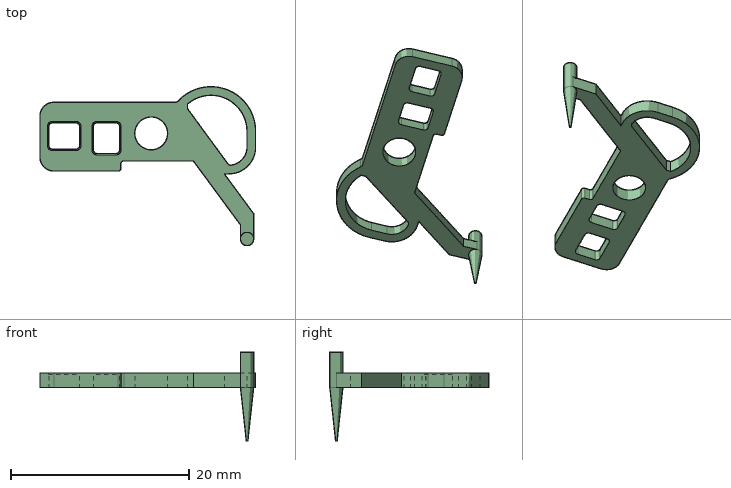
import cadquery as cq
import math

total_length = 24.2
thickness = 1.67
plate_top = 16.1
plate_bottom = 8.35
plate_corner_radius = 1.6
step_x = 9.1
step_y = 9.49
step_radius = 0.31

loop_wall = 1.0
loop_top = 17.84
loop_radius = 5.0
loop_x = total_length - loop_radius
loop_y = loop_top - loop_radius
heel_radius = 3.0
heel_x = total_length - heel_radius
heel_y = 11.04
loop_blend_radius = 0.48
window_left = 16.58
window_corner_y = 15.35
window_tip_radius = 0.36

pin_radius = 0.75
pin_x = 23.23
pin_y = pin_radius
pin_above_plate = 2.32
cone_length = 6.0
cone_tip_radius = 0.1
arm_start_x = 17.2
arm_bend_y = 2.32
arm_left = pin_x - pin_radius
arm_right = pin_x + pin_radius
arm_slope = (step_y - arm_bend_y) / (arm_left - arm_start_x)
arm_outer_bend_y = 3.58
arm_top_x = arm_right - (heel_y - arm_outer_bend_y) / arm_slope

round_hole_x = 12.49
round_hole_y = 12.58
round_hole_diameter = 3.65
opening_short = 2.95
opening_long = 3.44
opening_top = 13.77
first_opening_x = 2.73
second_opening_x = 7.48
opening_corner_radius = 0.44
opening_chamfer = 0.17
chamfer_taper = -45.0


def circle_point(x, y, radius, degrees):
    """Point on a circle at an angle measured from +X."""
    angle = math.radians(degrees)
    return (x + radius * math.cos(angle), y + radius * math.sin(angle))


def loop_left_point(radius, y):
    """Point on the left half of the upper loop arc at height y."""
    return (loop_x - math.sqrt(radius**2 - (y - loop_y) ** 2), y)


def make_plate():
    """Rounded plate with a step in its lower edge."""
    plate = (
        cq.Workplane("XY")
        .moveTo(0, plate_bottom)
        .lineTo(step_x, plate_bottom)
        .lineTo(step_x, step_y)
        .lineTo(arm_start_x, step_y)
        .lineTo(loop_x, loop_y)
        .lineTo(*loop_left_point(loop_radius, plate_top))
        .lineTo(0, plate_top)
        .close()
        .extrude(thickness)
    )
    plate = plate.edges("|Z and <X").fillet(plate_corner_radius)
    for corner_y in (plate_bottom, step_y):
        corner = cq.NearestToPointSelector((step_x, corner_y, thickness / 2))
        plate = plate.edges("|Z").edges(corner).fillet(step_radius)
    return plate


def make_loop():
    """Solid outline of the finger loop."""
    arm_inner_x = arm_start_x + (step_y - heel_y + heel_radius) / arm_slope
    return (
        cq.Workplane("XY")
        .moveTo(*loop_left_point(loop_radius, plate_top))
        .threePointArc((loop_x, loop_top), (total_length, loop_y))
        .lineTo(total_length, heel_y)
        .threePointArc(
            circle_point(heel_x, heel_y, heel_radius, -45), (heel_x, heel_y - heel_radius)
        )
        .lineTo(arm_inner_x, heel_y - heel_radius)
        .lineTo(arm_start_x, step_y)
        .close()
        .extrude(thickness)
    )


def make_arm():
    """Slanted arm that bends to run along -Y into the pin."""
    return (
        cq.Workplane("XY")
        .moveTo(arm_start_x, step_y)
        .lineTo(arm_left, arm_bend_y)
        .lineTo(arm_left, pin_y)
        .lineTo(arm_right, pin_y)
        .lineTo(arm_right, arm_outer_bend_y)
        .lineTo(arm_top_x, heel_y)
        .close()
        .extrude(thickness)
    )


def make_window():
    """Opening of the loop, closed by a slanted side along the arm."""
    inner_radius = loop_radius - loop_wall
    inner_heel = heel_radius - loop_wall
    right = total_length - loop_wall
    bottom = heel_y - inner_heel
    upper_y = loop_y + math.sqrt(inner_radius**2 - (loop_x - window_left) ** 2)
    return (
        cq.Workplane("XY")
        .moveTo(window_left, upper_y)
        .threePointArc((loop_x, loop_y + inner_radius), (right, loop_y))
        .lineTo(right, heel_y)
        .threePointArc(circle_point(heel_x, heel_y, inner_heel, -45), (heel_x, bottom))
        .lineTo(window_left, window_corner_y)
        .close()
        .extrude(thickness)
        .edges(cq.NearestToPointSelector((heel_x, bottom, thickness / 2)))
        .fillet(window_tip_radius)
    )


def make_opening(center_x, width, height):
    """Rounded rectangular through opening with a chamfered upper rim."""
    center_y = opening_top - height / 2
    outline = cq.Sketch().rect(width, height).vertices().fillet(opening_corner_radius)
    opening = cq.Workplane("XY", origin=(center_x, center_y, 0)).placeSketch(outline).extrude(thickness)
    rim_base = cq.Workplane("XY", origin=(center_x, center_y, thickness - opening_chamfer))
    rim = rim_base.placeSketch(outline).extrude(opening_chamfer, taper=chamfer_taper)
    return opening.union(rim)


def make_pin():
    """Round pin standing above the plate and tapering to a small flat tip below it."""
    profile = [
        (0, -cone_length),
        (cone_tip_radius, -cone_length),
        (pin_radius, 0),
        (pin_radius, thickness + pin_above_plate),
        (0, thickness + pin_above_plate),
    ]
    pin = cq.Workplane("XZ").polyline(profile).close().revolve(360, (0, 0), (0, 1))
    return pin.translate((pin_x, pin_y, 0))


body = make_plate().union(make_loop()).union(make_arm())
blend_x, blend_y = loop_left_point(loop_radius, plate_top)
body = body.edges(cq.NearestToPointSelector((blend_x, blend_y, thickness / 2))).fillet(loop_blend_radius)
body = body.cut(make_window())
body = body.cut(make_opening(first_opening_x, opening_long, opening_short))
body = body.cut(make_opening(second_opening_x, opening_short, opening_long))
round_hole = (
    cq.Workplane("XY").center(round_hole_x, round_hole_y).circle(round_hole_diameter / 2).extrude(thickness)
)
result = body.cut(round_hole).union(make_pin())